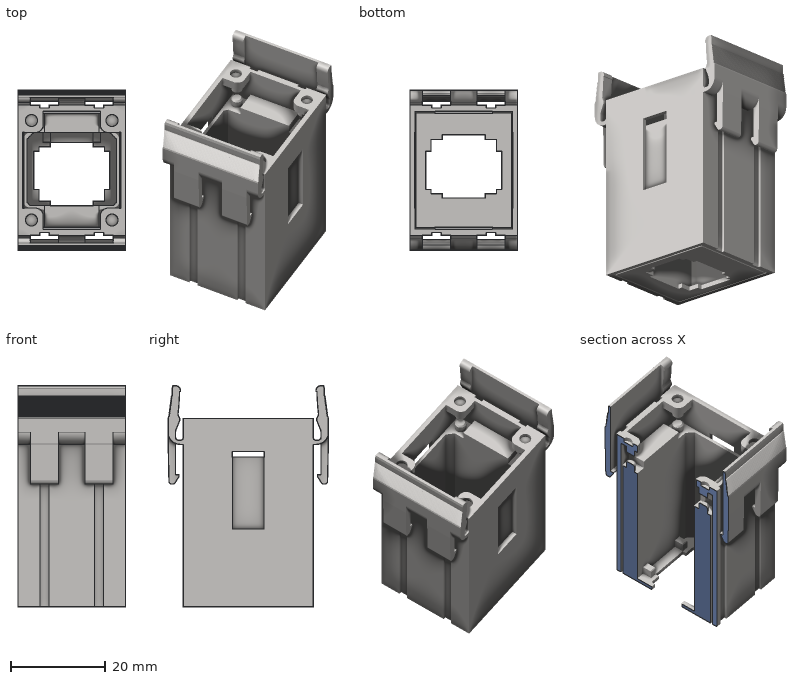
import cadquery as cq

WIDTH = 22.9
OVERALL_DEPTH = 34.0
DEPTH = 27.6
BOX_HEIGHT = 39.95
CLIP_TOP = 46.9
CAVITY_X = 20.75
CAVITY_Y = 24.95
HALF_DEPTH = DEPTH / 2

WINDOW_WIDTH = 6.7
WINDOW_BOTTOM = 16.55
WINDOW_TOP = 32.92

BOSS_INNER_X = 6.05
BOSS_INNER_Y = 8.0
BOSS_THICKNESS = 2.05
BOSS_ROUNDING = 1.65
POST_X = 7.95
POST_Y = 10.0
POST_DIAMETER = 2.45
POST_BOTTOM = 36.25
RECESS_X = 8.55
RECESS_Y = 10.55
RECESS_DIAMETER = 2.55
RECESS_DEPTH = 1.0

HOOK_CENTRE_X = 5.75
HOOK_WIDTH = 5.95
TRACK_WIDTH = 1.95
TRACK_DEPTH = 0.55

PLATE_INNER = 15.4
PLATE_OUTER = OVERALL_DEPTH / 2
PLATE_TOP_OUTER = 16.15
TOP_BEVEL_WIDTH = 0.15
TOP_BEVEL_HEIGHT = 0.6
GRIP_FOOT = 40.0
GRIP_BOTTOM = 40.35
GRIP_BOTTOM_OUTER = 16.9
GRIP_TOP = 44.75
GRIP_TOP_OUTER = 16.3
GRIP_TEETH = 16
GRIP_TOOTH_DEPTH = 0.15
BEND_RADIUS = 2.6
BEND_BOTTOM = 34.42
BEND_CENTRE_Y = PLATE_OUTER - BEND_RADIUS
BEND_CENTRE_Z = BEND_BOTTOM + BEND_RADIUS
GAP_FLOOR = 35.35
GAP_ROUNDING = 0.55
RIB_WIDTH = WIDTH / 2 - HOOK_CENTRE_X - HOOK_WIDTH / 2
RIB_ROUNDING = 1.05
RIB_INNER = PLATE_INNER - RIB_ROUNDING
RIB_FACE = 14.55
RIB_STEP_Z = 45.65
RIB_HOLLOW = (14.65, 43.4)
RIB_WAIST = (14.85, 40.9)
RIB_WAIST_CURVE = (14.77, 40.47)
RIB_BUMP_TOP = (14.6, 40.15)
RIB_BUMP_CREST = (14.5, 39.75)
RIB_BUMP_BOTTOM = (14.55, 39.45)
RIB_RAMP_FOOT = (15.2, 37.8)
RIB_RAMP_CURVE = (15.35, 37.43)
MIDDLE_WEB_WIDTH = 2 * HOOK_CENTRE_X - HOOK_WIDTH
HOOK_BOTTOM = 26.05
HOOK_OUTER = 16.85
HOOK_TIP_ROUNDING = 0.6
HOOK_NOSE_Y = 15.85
HOOK_NOSE_CURVE = (15.6, 26.15)
HOOK_RAMP_FOOT = (15.45, 26.4)
BARB_Y = 14.65
BARB_TOP = 28.05
BARB_EDGE = 0.38
TAPER_TOP = 34.55

CLEARANCE = 0.25
INSERT_X = CAVITY_X - 2 * CLEARANCE
INSERT_Y = 24.2
RIM_TOP = 31.8
BLOCK_TOP = 33.67
BLOCK_HALF_X = BOSS_INNER_X - CLEARANCE
POCKET_HALF_X = 9.47
POCKET_BACK = BOSS_INNER_Y
POCKET_FRONT = -7.5
BACK_CHAMFER = 1.4
FRONT_CHAMFER = 0.7
FLOOR = 0.95
PEG_CHAMFER = 0.35
PAD_HEIGHT = 1.88
PAD_CHAMFER = 0.2
STEP_INNER_X = 4.55
STEP_MIDDLE_X = 6.95
STEP_OUTER_X = 8.0
STEP_INNER_BACK = 5.85
STEP_MIDDLE_BACK = 4.95
STEP_MIDDLE_FRONT = -6.5
STEP_OUTER_Y = 4.05


def block(x0, x1, y0, y1, z0, z1):
    """Axis-aligned block between two opposite corners."""
    return cq.Workplane("XY").box(x1 - x0, y1 - y0, z1 - z0, centered=False).translate((x0, y0, z0))


def cylinder(x, y, diameter, z0, z1):
    """Upright cylinder centred at x, y."""
    return cq.Workplane("XY").circle(diameter / 2).extrude(z1 - z0).translate((x, y, z0))


def along_x(profile, centre, width):
    """Extrude a YZ profile to a given width, centred at X = centre."""
    return profile.extrude(width / 2, both=True).translate((centre, 0, 0))


def grip_plate():
    """Full-width plate whose outer face carries a ladder of finger-grip teeth."""
    pitch = (GRIP_TOP - GRIP_BOTTOM) / GRIP_TEETH
    lean = (GRIP_BOTTOM_OUTER - GRIP_TOP_OUTER) / GRIP_TEETH
    outline = cq.Workplane("YZ").moveTo(PLATE_INNER, BEND_CENTRE_Z).lineTo(PLATE_OUTER, BEND_CENTRE_Z)
    outline = outline.lineTo(PLATE_OUTER, GRIP_FOOT).lineTo(GRIP_BOTTOM_OUTER, GRIP_BOTTOM)
    for tooth in range(GRIP_TEETH):
        y = GRIP_BOTTOM_OUTER - lean * (tooth + 1)
        z = GRIP_BOTTOM + pitch * (tooth + 1)
        outline = outline.lineTo(y - GRIP_TOOTH_DEPTH, z - pitch / 2).lineTo(y, z)
    outline = (
        outline.lineTo(PLATE_TOP_OUTER, GRIP_TOP)
        .lineTo(PLATE_TOP_OUTER, CLIP_TOP - TOP_BEVEL_HEIGHT)
        .lineTo(PLATE_TOP_OUTER - TOP_BEVEL_WIDTH, CLIP_TOP)
        .lineTo(PLATE_INNER, CLIP_TOP)
        .close()
    )
    return along_x(outline, 0, WIDTH)


def web(centre, width):
    """Curved arm that joins the plate to the box wall."""
    section = (
        cq.Workplane("YZ")
        .moveTo(HALF_DEPTH, BEND_BOTTOM)
        .lineTo(BEND_CENTRE_Y, BEND_BOTTOM)
        .radiusArc((PLATE_OUTER, BEND_CENTRE_Z), -BEND_RADIUS)
        .lineTo(PLATE_INNER, BEND_CENTRE_Z)
        .lineTo(PLATE_INNER, GAP_FLOOR + GAP_ROUNDING)
        .radiusArc((PLATE_INNER - GAP_ROUNDING, GAP_FLOOR), GAP_ROUNDING)
        .lineTo(HALF_DEPTH + GAP_ROUNDING, GAP_FLOOR)
        .radiusArc((HALF_DEPTH, GAP_FLOOR + GAP_ROUNDING), GAP_ROUNDING)
        .close()
    )
    return along_x(section, centre, width)


def rib(centre):
    """Rounded thickening on the inner face at one end of the plate."""
    section = (
        cq.Workplane("YZ")
        .moveTo(PLATE_INNER, CLIP_TOP)
        .radiusArc((RIB_INNER, CLIP_TOP - RIB_ROUNDING), -RIB_ROUNDING)
        .lineTo(RIB_INNER, RIB_STEP_Z)
        .lineTo(RIB_FACE, RIB_STEP_Z)
        .threePointArc(RIB_HOLLOW, RIB_WAIST)
        .threePointArc(RIB_WAIST_CURVE, RIB_BUMP_TOP)
        .threePointArc(RIB_BUMP_CREST, RIB_BUMP_BOTTOM)
        .lineTo(*RIB_RAMP_FOOT)
        .threePointArc(RIB_RAMP_CURVE, (PLATE_INNER, BEND_CENTRE_Z))
        .close()
    )
    return along_x(section, centre, RIB_WIDTH)


def hook(centre):
    """Snap hook hanging below the plate, with an inward barb."""
    tip_flat = HOOK_OUTER - HOOK_TIP_ROUNDING
    section = (
        cq.Workplane("YZ")
        .moveTo(PLATE_INNER, BEND_CENTRE_Z)
        .lineTo(PLATE_OUTER, BEND_CENTRE_Z)
        .lineTo(PLATE_OUTER, TAPER_TOP)
        .lineTo(HOOK_OUTER, HOOK_BOTTOM + HOOK_TIP_ROUNDING)
        .radiusArc((tip_flat, HOOK_BOTTOM), HOOK_TIP_ROUNDING)
        .lineTo(HOOK_NOSE_Y, HOOK_BOTTOM)
        .threePointArc(HOOK_NOSE_CURVE, HOOK_RAMP_FOOT)
        .lineTo(BARB_Y, BARB_TOP - BARB_EDGE)
        .lineTo(BARB_Y, BARB_TOP)
        .lineTo(PLATE_INNER, BARB_TOP)
        .close()
    )
    return along_x(section, centre, HOOK_WIDTH)


def clip():
    """Spring clip on the +Y wall: plate, webs, end ribs and two hooks."""
    shape = grip_plate().union(web(0, MIDDLE_WEB_WIDTH))
    for side in (-1, 1):
        rib_centre = side * (WIDTH - RIB_WIDTH) / 2
        shape = shape.union(web(rib_centre, RIB_WIDTH)).union(rib(rib_centre))
        shape = shape.union(hook(side * HOOK_CENTRE_X))
    return shape


def corner_boss():
    """Boss in the +X +Y corner with a round post below and a blind recess on top."""
    bottom = BOX_HEIGHT - BOSS_THICKNESS
    boss = block(BOSS_INNER_X, CAVITY_X / 2, BOSS_INNER_Y, CAVITY_Y / 2, bottom, BOX_HEIGHT)
    boss = boss.edges("|Z and <X and <Y").fillet(BOSS_ROUNDING)
    boss = boss.union(cylinder(POST_X, POST_Y, POST_DIAMETER, POST_BOTTOM, BOX_HEIGHT - RECESS_DEPTH))
    return boss.cut(cylinder(RECESS_X, RECESS_Y, RECESS_DIAMETER, BOX_HEIGHT - RECESS_DEPTH, BOX_HEIGHT))


def housing_half():
    """Features that repeat, mirrored, on the +Y and -Y sides."""
    bosses = corner_boss()
    return clip().union(bosses).union(bosses.mirror("YZ"))


def housing():
    """Open box with side windows, grooves, corner bosses and two clips."""
    half_x = CAVITY_X / 2
    half_y = CAVITY_Y / 2
    half_window = WINDOW_WIDTH / 2
    body = block(-WIDTH / 2, WIDTH / 2, -HALF_DEPTH, HALF_DEPTH, 0, BOX_HEIGHT)
    body = body.cut(block(-half_x, half_x, -half_y, half_y, 0, BOX_HEIGHT))
    body = body.cut(block(-WIDTH / 2, WIDTH / 2, -half_window, half_window, WINDOW_BOTTOM, WINDOW_TOP))
    track = block(-TRACK_WIDTH / 2, TRACK_WIDTH / 2, HALF_DEPTH - TRACK_DEPTH, HALF_DEPTH, 0, BOX_HEIGHT)
    for side in (-1, 1):
        shifted = track.translate((side * HOOK_CENTRE_X, 0, 0))
        body = body.cut(shifted).cut(shifted.mirror("XZ"))
    half = housing_half()
    return body.union(half).union(half.mirror("XZ"))


def pocket():
    """Deep pocket with chamfered corners, left open at the top."""
    void = block(-POCKET_HALF_X, POCKET_HALF_X, POCKET_FRONT, POCKET_BACK, FLOOR, BLOCK_TOP)
    return void.edges("|Z and >Y").chamfer(BACK_CHAMFER).edges("|Z and <Y").chamfer(FRONT_CHAMFER)


def floor_opening():
    """Stepped opening through the pocket floor."""
    steps = [
        (STEP_INNER_X, POCKET_FRONT, STEP_INNER_BACK),
        (STEP_MIDDLE_X, STEP_MIDDLE_FRONT, STEP_MIDDLE_BACK),
        (STEP_OUTER_X, -STEP_OUTER_Y, STEP_OUTER_Y),
    ]
    opening = cq.Workplane("XY")
    for half_x, front, back in steps:
        opening = opening.union(block(-half_x, half_x, front, back, 0, FLOOR))
    return opening


def insert():
    """Tray inside the housing with two raised end blocks and four corner pegs."""
    half_x = INSERT_X / 2
    half_y = INSERT_Y / 2
    body = block(-half_x, half_x, -half_y, half_y, 0, RIM_TOP)
    body = body.union(block(-BLOCK_HALF_X, BLOCK_HALF_X, -half_y, half_y, RIM_TOP, BLOCK_TOP))
    body = body.cut(pocket()).cut(floor_opening())
    pad = block(STEP_INNER_X, BOSS_INNER_X, STEP_INNER_BACK, POCKET_BACK, FLOOR, FLOOR + PAD_HEIGHT)
    pad = pad.edges(">Z and <Y").chamfer(PAD_CHAMFER)
    body = body.union(pad).union(pad.mirror("YZ"))
    for x in (-POST_X, POST_X):
        for y in (-POST_Y, POST_Y):
            peg = cylinder(x, y, POST_DIAMETER, RIM_TOP, BLOCK_TOP)
            body = body.union(peg.faces(">Z").chamfer(PEG_CHAMFER))
    return body


result = cq.Compound.makeCompound([housing().val(), insert().val()])